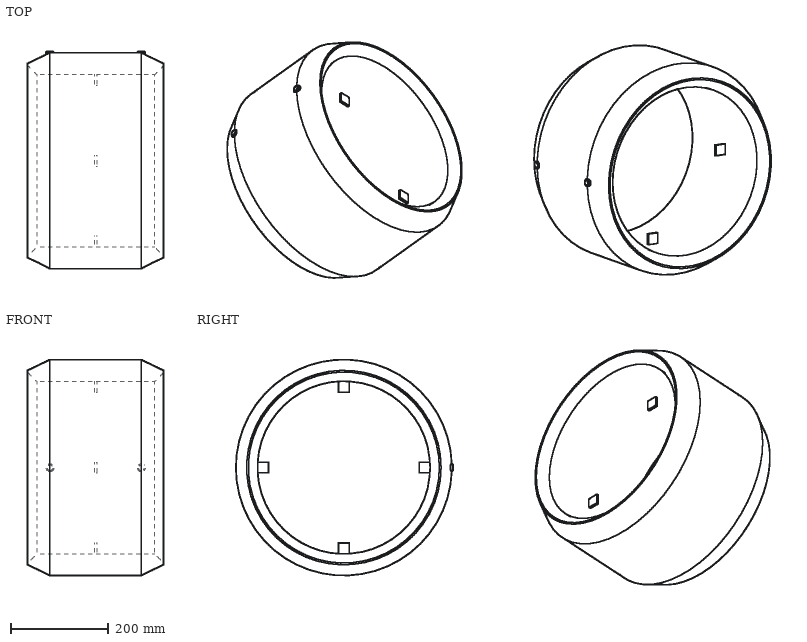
import cadquery as cq

length = 280.0
outer_diameter = 445.0
bore_diameter = 355.0
crown_length = 188.0
end_outer_radius = 200.0
end_rim_width = 3.5
inner_bevel_length = 19.0

tab_count = 4
tab_width = 22.5
tab_thickness = 4.5
tab_tip_radius = 155.0

boss_diameter = 16.0
boss_chamfer = 2.2
boss_top = 225.0

half_length = length / 2
half_crown = crown_length / 2
outer_radius = outer_diameter / 2
bore_radius = bore_diameter / 2
end_inner_radius = end_outer_radius - end_rim_width
half_bore = half_length - inner_bevel_length
wall_middle_radius = (outer_radius + bore_radius) / 2


def make_ring():
    """Revolve the wall section, bevelled inside and outside at both ends."""
    section = [
        (-half_length, end_outer_radius),
        (-half_crown, outer_radius),
        (half_crown, outer_radius),
        (half_length, end_outer_radius),
        (half_length, end_inner_radius),
        (half_bore, bore_radius),
        (-half_bore, bore_radius),
        (-half_length, end_inner_radius),
    ]
    return cq.Workplane("XY").polyline(section).close().revolve(360, (0, 0, 0), (1, 0, 0))


def make_tab(angle):
    """Thin plate at mid-length, rooted in the wall and pointing at the axis."""
    tab_length = wall_middle_radius - tab_tip_radius
    tab = cq.Workplane("XY").box(tab_thickness, tab_length, tab_width)
    tab = tab.translate((0, tab_tip_radius + tab_length / 2, 0))
    return tab.rotate((0, 0, 0), (1, 0, 0), angle)


def make_boss(x):
    """Round boss with a chamfered top, rooted in the wall."""
    height = boss_top - wall_middle_radius
    boss = cq.Workplane("XZ").circle(boss_diameter / 2).extrude(-height)
    return boss.faces(">Y").chamfer(boss_chamfer).translate((x, wall_middle_radius, 0))


result = make_ring()
for index in range(tab_count):
    result = result.union(make_tab(index * 360 / tab_count))
for boss_x in (-half_crown, half_crown):
    result = result.union(make_boss(boss_x))